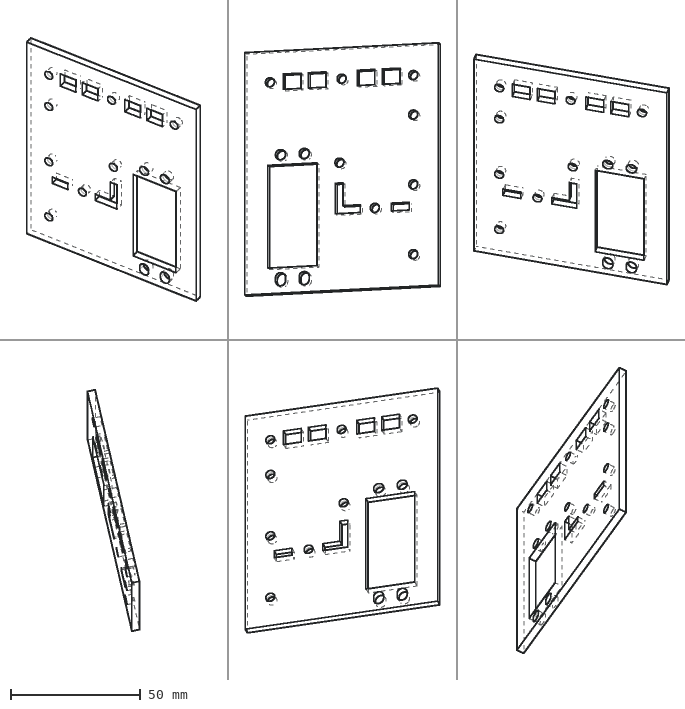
import cadquery as cq

plate_width = 77.0
plate_height = 95.0
thickness = 3.0

screw_diameter = 3.5
screw_pitch_x = 28.5
top_row_z = 35.3
column_top_z = 19.9
column_pitch = 27.4
column_count = 3

window_width = 7.0
window_height = 6.0
window_inner_x = 9.7
window_outer_x = 19.7

opening_width = 19.5
opening_height = 40.3
opening_x = 19.6
opening_z = -17.3
fixing_diameter = 4.0
fixing_pitch = 9.4
fixing_hole_z = 6.7
fixing_slot_length = 5.1
fixing_slot_z = -42.1

narrow_width = 3.0
narrow_z = -16.0
narrow_slot_length = 7.1
narrow_slot_x = -23.4
corner_outer_x = 2.5
corner_length_x = 9.9
corner_length_z = 12.0

lone_holes = [(-13.2, narrow_z), (0.9, 2.5)]


def cutter(sketch):
    """Extrude a closed XZ outline right through the plate."""
    return sketch.extrude(thickness, both=True)


def face_plane():
    return cq.Workplane("XZ")


def round_holes(points, diameter):
    return cutter(face_plane().pushPoints(points).circle(diameter / 2))


def rectangles(points, width, height):
    return cutter(face_plane().pushPoints(points).rect(width, height))


def corner_slot():
    """L-shaped slot with its corner at the lower right."""
    right = corner_outer_x
    left = right - corner_length_x
    bottom = narrow_z - narrow_width / 2
    top = bottom + corner_length_z
    outline = [
        (left, bottom),
        (right, bottom),
        (right, top),
        (right - narrow_width, top),
        (right - narrow_width, bottom + narrow_width),
        (left, bottom + narrow_width),
    ]
    return cutter(face_plane().polyline(outline).close())


plate = face_plane().rect(plate_width, plate_height).extrude(thickness / 2, both=True)

top_row = [(i * screw_pitch_x, top_row_z) for i in (-1, 0, 1)]
left_column = [(-screw_pitch_x, column_top_z - i * column_pitch) for i in range(column_count)]
plate = plate.cut(round_holes(top_row + left_column + lone_holes, screw_diameter))

window_centres = [(side * x, top_row_z) for side in (-1, 1) for x in (window_inner_x, window_outer_x)]
plate = plate.cut(rectangles(window_centres, window_width, window_height))

plate = plate.cut(rectangles([(opening_x, opening_z)], opening_width, opening_height))
fixing_xs = [opening_x + side * fixing_pitch / 2 for side in (-1, 1)]
plate = plate.cut(round_holes([(x, fixing_hole_z) for x in fixing_xs], fixing_diameter))
fixing_slots = face_plane().pushPoints([(x, fixing_slot_z) for x in fixing_xs])
plate = plate.cut(cutter(fixing_slots.slot2D(fixing_slot_length, fixing_diameter, 90)))

plate = plate.cut(rectangles([(narrow_slot_x, narrow_z)], narrow_slot_length, narrow_width))
plate = plate.cut(corner_slot())

result = plate